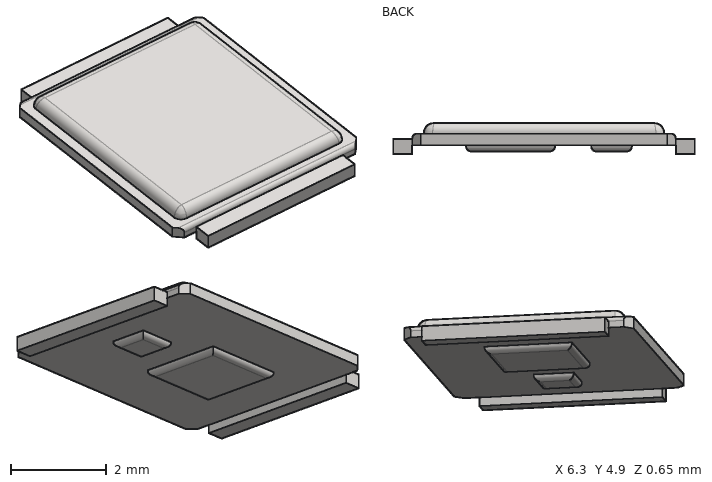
import cadquery as cq

length = 6.3
width = 4.9
height = 0.65

lead_length = 0.4
lead_width = 3.905
lead_height = 0.315

plate_bottom = 0.18
plate_top = 0.43
plate_length = length - 2 * lead_length
plate_corner_chamfer = 0.175
plate_end_fillet = 0.1

lid_inset = 0.24
lid_corner_radius = 0.175
lid_top_fillet = 0.215

pad_bottom = 0.05
pad_edge_fillet = 0.12
gate_pad_size = 0.855
gate_pad_x = -1.41
source_pad_size = 1.865
source_pad_x = 0.7


def block(size_x, size_y, z_low, z_high, center_x=0.0):
    """Box centred on Y, spanning the given heights."""
    base = cq.Workplane("XY", origin=(center_x, 0, z_low))
    return base.rect(size_x, size_y).extrude(z_high - z_low)


def make_plate():
    plate = block(plate_length, width, plate_bottom, plate_top)
    plate = plate.faces(">Z").edges("|Y").fillet(plate_end_fillet)
    corner_cutter = (
        block(plate_length, width, plate_bottom, plate_top)
        .edges("|Z")
        .chamfer(plate_corner_chamfer)
    )
    return plate.intersect(corner_cutter)


def make_lid():
    lid_length = plate_length - 2 * lid_inset
    lid_width = width - 2 * lid_inset
    lid = block(lid_length, lid_width, plate_top, height)
    lid = lid.edges("|Z").fillet(lid_corner_radius)
    return lid.faces(">Z").edges().fillet(lid_top_fillet)


def make_pad(size, center_x):
    pad = block(size, size, pad_bottom, plate_bottom, center_x)
    return pad.faces("<Z").edges().fillet(pad_edge_fillet)


result = make_plate().union(make_lid())
for side in (-1, 1):
    lead_x = side * (length - lead_length) / 2
    result = result.union(block(lead_length, lead_width, 0, lead_height, lead_x))
result = result.union(make_pad(gate_pad_size, gate_pad_x))
result = result.union(make_pad(source_pad_size, source_pad_x))